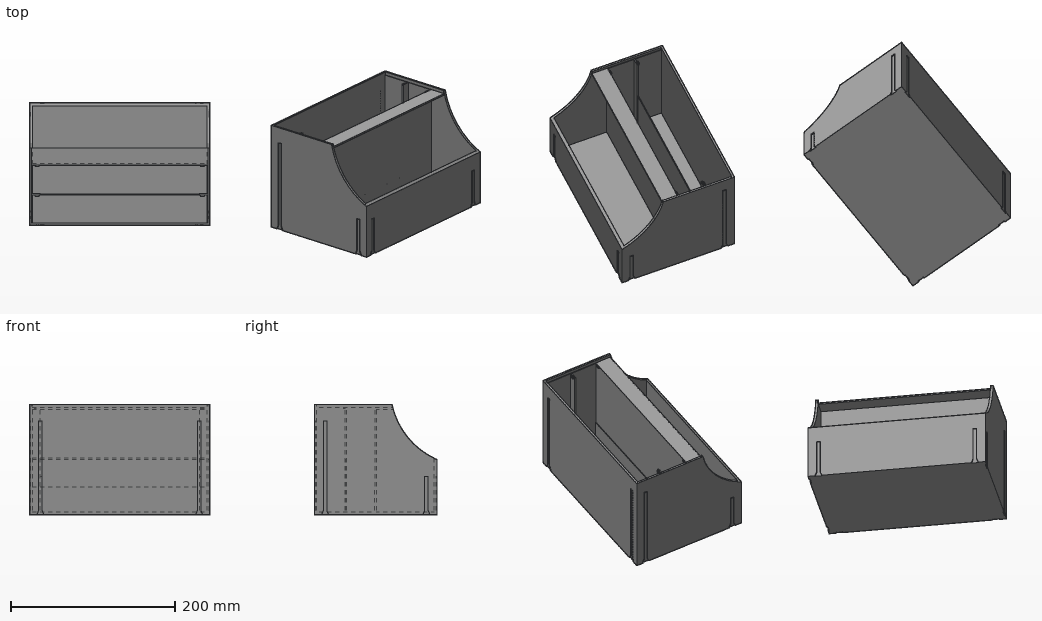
import cadquery as cq
import math

length = 219.18
depth = 149.28
height = 134.4
floor_thickness = 3.2

side_wall = 3.2
front_wall = 2.8
rear_wall = 3.9

lid_seat_depth = 4.0
lid_ledge = 0.8
seat_z = height - lid_seat_depth

scoop_length = 54.8
scoop_rear_z = height / 2
scoop_radius = 94.4

hood_thickness = 2.0
bin_wall_thickness = 1.6
bin_wall_distance = 73.7
plinth_projection = 0.5
plinth_height = height / 4

divider_distance = 37.2
divider_thickness = 1.0
divider_height = height / 2
post_width = 9.6
post_thickness = 1.8

tab_base = 6.8
tab_tip = 4.4
tab_projection = 1.8
tab_thickness = 0.8
tab_drop = 0.5
tab_top_z = seat_z - tab_drop
tab_inset = 9.1

groove_width = 4.4
groove_mouth = 8.8
groove_flare_height = 5.0
groove_depth = 1.2
groove_inset = 13.0
groove_top_margin = 20.4

half_length = length / 2
front_y = -depth / 2
rear_y = depth / 2
scoop_top_y = rear_y - scoop_length
bin_wall_y = front_y + bin_wall_distance
divider_y = front_y + divider_distance
inner_half_length = half_length - side_wall


def block(x_range, y_range, z_range):
    """Axis-aligned box given by its start and end along each axis."""
    starts, ends = zip(x_range, y_range, z_range)
    sizes = [end - start for start, end in zip(starts, ends)]
    return cq.Workplane("XY").box(*sizes, centered=False).translate(starts)


def hollow_box():
    """Open-topped box with the lid seat stepped into its side walls."""
    outer = block((-half_length, half_length), (front_y, rear_y), (0, height))
    inner_y = (front_y + front_wall, rear_y - rear_wall)
    cavity = block((-inner_half_length, inner_half_length), inner_y, (floor_thickness, height))
    seat_half_length = inner_half_length + lid_ledge
    seat_y = (front_y + front_wall, scoop_top_y)
    seat = block((-seat_half_length, seat_half_length), seat_y, (seat_z, height))
    return outer.cut(cavity).cut(seat)


def hood_and_bin_wall():
    """Wall behind the front compartments with a flat hood reaching over the rear bin."""
    inner_x = (-inner_half_length, inner_half_length)
    wall_back_y = bin_wall_y + bin_wall_thickness
    wall = block(inner_x, (bin_wall_y, wall_back_y), (floor_thickness, seat_z))
    plinth_y = (bin_wall_y - plinth_projection, wall_back_y)
    plinth = block(inner_x, plinth_y, (floor_thickness, plinth_height))
    hood = block(inner_x, (bin_wall_y, scoop_top_y), (seat_z - hood_thickness, seat_z))
    return wall.union(plinth).union(hood)


def divider():
    """Low panel between two full-height posts."""
    inner_x = (-inner_half_length, inner_half_length)
    panel_y = (divider_y, divider_y + divider_thickness)
    panel = block(inner_x, panel_y, (floor_thickness, divider_height))
    post_x = (inner_half_length - post_width, inner_half_length)
    post_y = (divider_y, divider_y + post_thickness)
    post = block(post_x, post_y, (floor_thickness, seat_z))
    return panel.union(post).union(post.mirror("YZ"))


def tab(x, wall_y):
    """Small trapezoidal tab pointing toward -Y from a wall face."""
    tip_y = wall_y - tab_projection
    outline = [
        (x - tab_base / 2, wall_y),
        (x + tab_base / 2, wall_y),
        (x + tab_tip / 2, tip_y),
        (x - tab_tip / 2, tip_y),
    ]
    plate = cq.Workplane("XY").workplane(offset=tab_top_z - tab_thickness).polyline(outline).close()
    return plate.extrude(tab_thickness)


def scoop():
    """Cutter for the concave arc running from the rear face up to the rim."""
    rise = height - scoop_rear_z
    chord = math.hypot(scoop_length, rise)
    sagitta = scoop_radius - math.sqrt(scoop_radius**2 - (chord / 2) ** 2)
    arc_mid_y = (scoop_top_y + rear_y) / 2 - sagitta * rise / chord
    arc_mid_z = (height + scoop_rear_z) / 2 - sagitta * scoop_length / chord
    profile = (
        cq.Workplane("YZ")
        .moveTo(scoop_top_y, height)
        .threePointArc((arc_mid_y, arc_mid_z), (rear_y, scoop_rear_z))
        .lineTo(rear_y, height)
        .close()
    )
    return profile.extrude(half_length, both=True)


def groove(top_z):
    """Groove cutter in the XZ plane, entering the wall from Y = 0 toward +Y."""
    outline = [
        (-groove_mouth / 2, 0),
        (-groove_width / 2, groove_flare_height),
        (-groove_width / 2, top_z),
        (groove_width / 2, top_z),
        (groove_width / 2, groove_flare_height),
        (groove_mouth / 2, 0),
    ]
    return cq.Workplane("XZ").polyline(outline).close().extrude(-groove_depth)


def cut_grooves(body):
    """Cut two grooves into each outer wall, lower ones where the scoop lowers the wall."""
    tall_groove = groove(height - groove_top_margin)
    short_groove = groove(scoop_rear_z - groove_top_margin)
    groove_x = half_length - groove_inset
    groove_y = rear_y - groove_inset
    z_axis = ((0, 0, 0), (0, 0, 1))
    for side in (-1, 1):
        side_angle = side * 90
        body = body.cut(tall_groove.translate((side * groove_x, front_y, 0)))
        body = body.cut(short_groove.rotate(*z_axis, 180).translate((side * groove_x, rear_y, 0)))
        tall_side = tall_groove.rotate(*z_axis, side_angle)
        short_side = short_groove.rotate(*z_axis, side_angle)
        body = body.cut(tall_side.translate((side * half_length, -groove_y, 0)))
        body = body.cut(short_side.translate((side * half_length, groove_y, 0)))
    return body


body = hollow_box().union(hood_and_bin_wall()).union(divider())
for tab_side in (-1, 1):
    for tab_wall_y in (bin_wall_y, divider_y):
        body = body.union(tab(tab_side * (half_length - tab_inset), tab_wall_y))
result = cut_grooves(body.cut(scoop()))